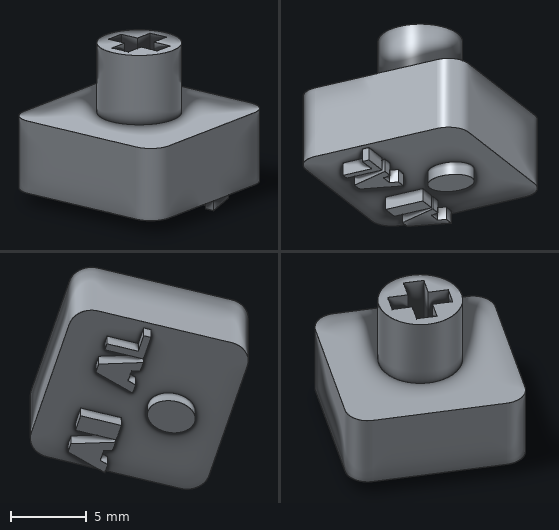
import cadquery as cq

body_length = 12.14
body_width = 12.2
body_height = 5.0
corner_radius = 1.52

stem_diameter = 5.6
stem_height = 4.8
cross_span = 4.07
cross_arm_width = 1.37
cross_depth = stem_height

pad_height = 0.9
row_front = 0.73
row_back = 3.53
row_depth = row_back - row_front

tapered_pad_centers = (-2.26, 4.37)
tapered_pad_width = 2.55
foot_width = 0.68
tip_width = 0.68
notch_depth = 0.56

angled_pad_left = -5.6
angled_pad_right = -3.81
angled_pad_margin = 0.07
angled_pad_thickness = 0.5

bar_center_x = 2.3
bar_width = 1.21

oval_center_x = 0.12
oval_center_y = -2.23
oval_length = 2.51
oval_width = 3.2


def make_body():
    block = cq.Workplane("XY").box(body_length, body_width, body_height, centered=(True, True, False))
    return block.edges("|Z").fillet(corner_radius)


def make_stem():
    stem = cq.Workplane("XY").workplane(offset=body_height).circle(stem_diameter / 2).extrude(stem_height)
    for length, width in ((cross_span, cross_arm_width), (cross_arm_width, cross_span)):
        stem = stem.faces(">Z").workplane(origin=(0, 0, 0)).rect(length, width).cutBlind(-cross_depth)
    return stem


def make_tapered_pad(center_x):
    half_base = tapered_pad_width / 2
    half_tip = tip_width / 2
    half_notch = half_base - foot_width
    side_slope = (half_base - half_tip) / row_depth
    half_notch_end = half_notch - side_slope * notch_depth
    outline = [
        (-half_base, 0),
        (-half_notch, 0),
        (-half_notch_end, notch_depth),
        (half_notch_end, notch_depth),
        (half_notch, 0),
        (half_base, 0),
        (half_tip, row_depth),
        (-half_tip, row_depth),
    ]
    plane = cq.Workplane("XY", origin=(center_x, row_front, 0))
    return plane.polyline(outline).close().extrude(-pad_height)


def make_angled_pad():
    front = row_front + angled_pad_margin
    back = row_back - angled_pad_margin
    upright_left = angled_pad_right - angled_pad_thickness
    foot_back = front + angled_pad_thickness
    outline = [
        (angled_pad_left, front),
        (angled_pad_right, front),
        (angled_pad_right, back),
        (upright_left, back),
        (upright_left, foot_back),
        (angled_pad_left, foot_back),
    ]
    return cq.Workplane("XY").polyline(outline).close().extrude(-pad_height)


def make_bar_pad():
    plane = cq.Workplane("XY", origin=(bar_center_x, (row_front + row_back) / 2, 0))
    return plane.rect(bar_width, row_depth).extrude(-pad_height)


def make_oval_pad():
    plane = cq.Workplane("XY", origin=(oval_center_x, oval_center_y, 0))
    return plane.ellipse(oval_length / 2, oval_width / 2).extrude(-pad_height)


result = make_body().union(make_stem())
for pad_center in tapered_pad_centers:
    result = result.union(make_tapered_pad(pad_center))
for pad in (make_angled_pad(), make_bar_pad(), make_oval_pad()):
    result = result.union(pad)